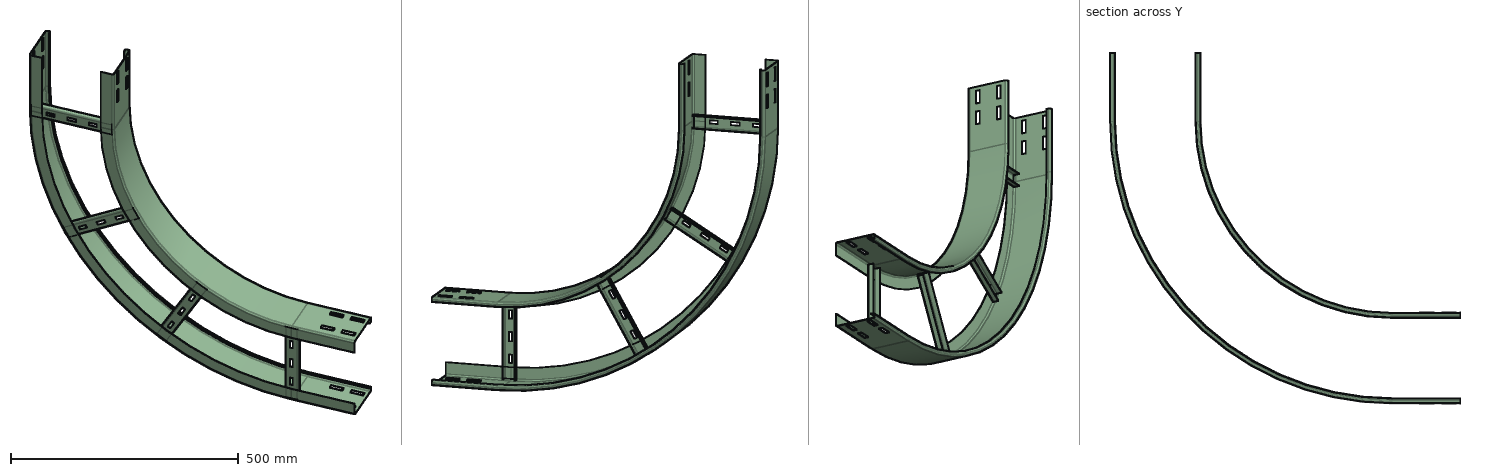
import cadquery as cq
import math


leg_length = 150.0
outer_rail_radius = 620.0
tray_width = 200.0
inner_rail_radius = outer_rail_radius - tray_width
tray_depth = 100.0
front_y = -tray_depth / 2
back_y = tray_depth / 2

sheet = 1.5
rail_bend_radius = 5.0
rung_bend_radius = 2.0

front_flange = 31.0
back_flange = 12.0
lip_depth = 10.0

joint_slot_length = 30.0
joint_slot_width = 9.0
joint_slot_pitch = 49.0
joint_slot_end_distance = 25.0
back_slot_y = back_y - 21.0
front_slot_y = front_y + 26.0

rung_count = 4
arc_angle = 90.0
rung_width = 30.0
rung_depth = 15.0
rung_inset = 5.0
rung_length = tray_width - 2 * rung_inset
rung_front_y = front_y + sheet
rung_slot_width = 7.0
rung_slot_pitch = 50.0
rung_middle_slot_length = 21.0
rung_end_slot_length = 18.5


def bent_sheet(outside, inside, bend_radius):
    """Sheet section between two corner paths, rounded at the bends.

    Both paths run from one free edge to the other, so their end points are not bends.
    """
    corners = [cq.Vector(u, v) for u, v in outside + inside[::-1]]
    section = cq.Face.makeFromWires(cq.Wire.makePolygon(corners, close=True))
    for path, radius in ((outside, bend_radius), (inside, bend_radius - sheet)):
        bends = [
            vertex
            for vertex in section.Vertices()
            if any(math.hypot(vertex.X - u, vertex.Y - v) < sheet / 2 for u, v in path[1:-1])
        ]
        section = section.fillet2D(radius, bends)
    return section


def rail_section(web_radius, inward):
    """Rail section at the -X end of the arc; inward is +1 where the channel opens toward the centre."""

    def place(points):
        return [(-web_radius + inward * depth, y) for depth, y in points]

    outside = place([
        (front_flange, front_y),
        (0, front_y),
        (0, back_y),
        (back_flange, back_y),
        (back_flange, back_y - lip_depth),
    ])
    inside = place([
        (front_flange, front_y + sheet),
        (sheet, front_y + sheet),
        (sheet, back_y - sheet),
        (back_flange - sheet, back_y - sheet),
        (back_flange - sheet, back_y - lip_depth),
    ])
    return bent_sheet(outside, inside, rail_bend_radius)


def joint_slots(web_radius):
    """Cutters for the four slots in the web of the leg on the -X side."""
    first_z = leg_length - joint_slot_end_distance
    places = [
        (-web_radius, y, first_z - i * joint_slot_pitch)
        for y in (front_slot_y, back_slot_y)
        for i in range(2)
    ]
    cutter_depth = 2 * rail_bend_radius
    return cq.Workplane().pushPoints(places).box(cutter_depth, joint_slot_width, joint_slot_length)


def on_lower_leg(upper_leg):
    """Mirror a shape from the leg on the -X side onto the leg on the -Z side."""
    return upper_leg.mirror("XY").rotate((0, 0, 0), (0, 1, 0), -arc_angle)


def make_rail(web_radius, inward):
    section = cq.Workplane(rail_section(web_radius, inward))
    face = section.val()
    arc = cq.Workplane(
        cq.Solid.revolve(face, arc_angle, cq.Vector(0, 0, 0), cq.Vector(0, -1, 0))
    )
    leg = cq.Workplane(cq.Solid.extrudeLinear(face, cq.Vector(0, 0, leg_length)))
    leg = leg.cut(joint_slots(web_radius))
    return arc.union(leg, clean=False).union(on_lower_leg(leg), clean=False)


def make_rung(angle):
    """Slotted channel across the tray, turned by angle from the -X end of the arc."""
    half = rung_width / 2
    rear_y = rung_front_y + rung_depth
    outside = [(rear_y, -half), (rung_front_y, -half), (rung_front_y, half), (rear_y, half)]
    inside = [
        (rear_y, -half + sheet),
        (rung_front_y + sheet, -half + sheet),
        (rung_front_y + sheet, half - sheet),
        (rear_y, half - sheet),
    ]
    start_x = -outer_rail_radius + rung_inset
    section_plane = cq.Plane(origin=(start_x, 0, 0), xDir=(0, 1, 0), normal=(1, 0, 0))
    section = bent_sheet(outside, inside, rung_bend_radius).moved(cq.Location(section_plane))
    rung = cq.Workplane(cq.Solid.extrudeLinear(section, cq.Vector(rung_length, 0, 0)))

    middle_x = start_x + rung_length / 2
    for step, length in ((-1, rung_end_slot_length), (0, rung_middle_slot_length), (1, rung_end_slot_length)):
        slot = cq.Workplane().box(length, 2 * rung_bend_radius, rung_slot_width)
        rung = rung.cut(slot.translate((middle_x + step * rung_slot_pitch, rung_front_y, 0)))
    return rung.rotate((0, 0, 0), (0, 1, 0), -angle)


outer_rail = make_rail(outer_rail_radius, 1)
inner_rail = make_rail(inner_rail_radius, -1)
rungs = [make_rung(arc_angle * i / (rung_count - 1)) for i in range(rung_count)]

result = cq.Compound.makeCompound(
    [outer_rail.val(), inner_rail.val()] + [rung.val() for rung in rungs]
)